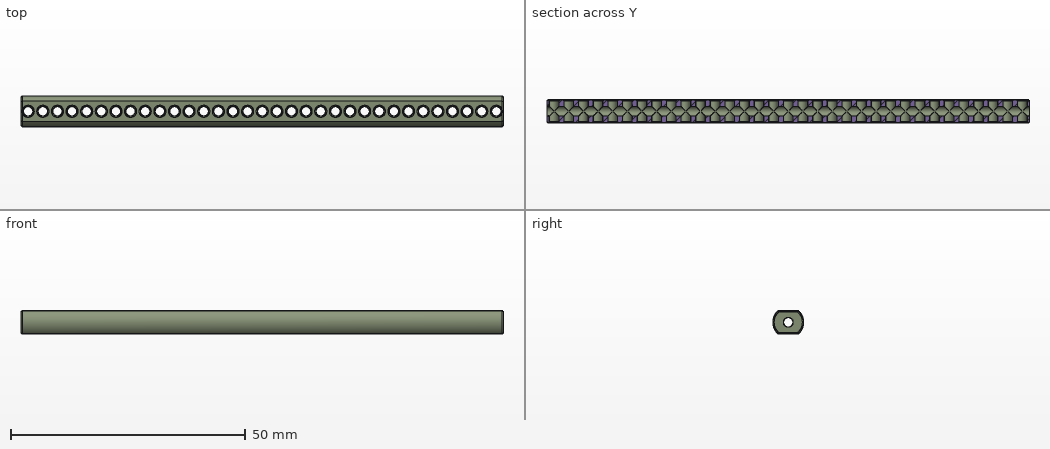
import cadquery as cq

length = 103.1
rod_diameter = 6.6
flat_depth = 0.8
end_chamfer = 0.3

hole_radius = 1.0
countersink_depth = 0.3
hole_count = 33
hole_pitch = length / hole_count

flat_thickness = rod_diameter - 2 * flat_depth
countersink_radius = hole_radius + countersink_depth


def make_rod():
    """Round bar cut down to two flats, with both ends chamfered all round."""
    bar = cq.Workplane("YZ").circle(rod_diameter / 2).extrude(length / 2, both=True)
    flats = cq.Workplane("XY").box(length, rod_diameter, flat_thickness)
    return bar.intersect(flats).faces("<X or >X").chamfer(end_chamfer)


def make_bore():
    """Through bore along the rod axis."""
    return cq.Workplane("YZ").circle(hole_radius).extrude(length / 2, both=True)


def make_cross_hole():
    """Vertical through hole on the Z axis, countersunk at 45 degrees at both flats."""
    top = flat_thickness / 2
    half_profile = [
        (0, -top),
        (countersink_radius, -top),
        (hole_radius, -top + countersink_depth),
        (hole_radius, top - countersink_depth),
        (countersink_radius, top),
        (0, top),
    ]
    return cq.Workplane("XZ").polyline(half_profile).close().revolve(360, (0, 0), (0, 1))


result = make_rod().cut(make_bore())

cross_hole = make_cross_hole()
for index in range(hole_count):
    hole_x = (index - (hole_count - 1) / 2) * hole_pitch
    result = result.cut(cross_hole.translate((hole_x, 0, 0)))